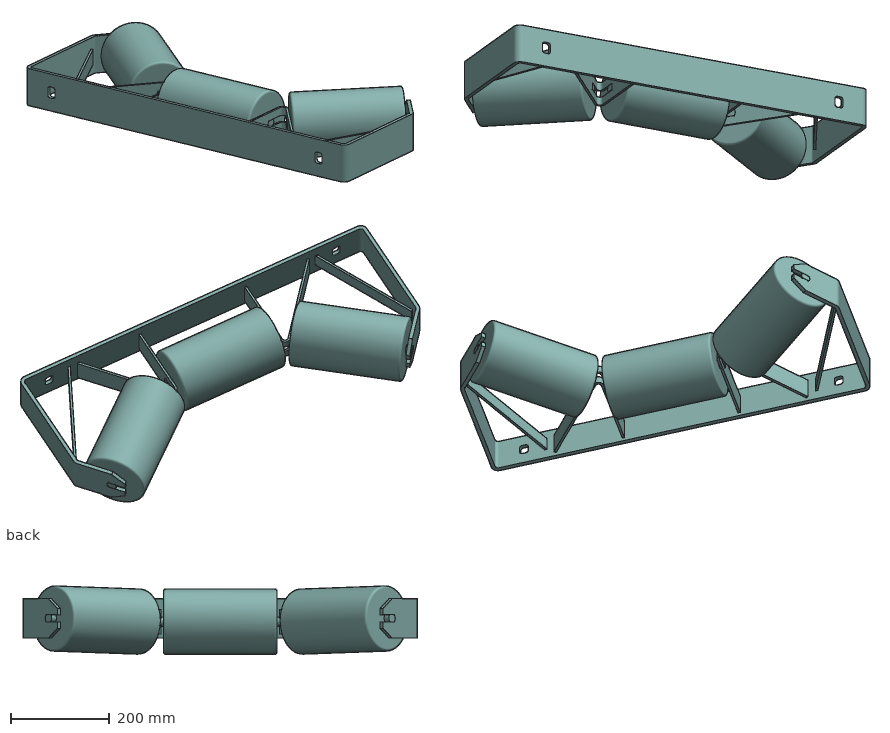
import cadquery as cq
import math

FRAME_LENGTH = 800.0
FRAME_HEIGHT = 80.0
FRAME_THICKNESS = 8.0
FRAME_BEND_RADIUS = 14.0
SIDE_LENGTH = 238.0
FRAME_MID_Z = 0.0

TROUGH_ANGLE = 40.0
ARM_LENGTH = 109.0
ARM_ABOVE_AXIS = 29.0
ARM_TIP_CHAMFER_HEIGHT = 20.0

MOUNT_SLOT_X = 333.0
MOUNT_SLOT_WIDTH = 18.0
MOUNT_SLOT_HEIGHT = 24.0
MOUNT_SLOT_CORNER_RADIUS = 6.0

ROLLER_DIAMETER = 133.0
ROLLER_EDGE_RADIUS = 5.0
ROLLER_LENGTH = 230.0
ROLLER_GAP = 5.0
SIDE_BRACKET_GAP = 3.0
SHAFT_DIAMETER = 20.0
SHAFT_FLAT_WIDTH = 14.0
SHOULDER_CLEARANCE = 0.4
MIDDLE_ROLLER_Y = 126.0
FORWARD_TILT = 1.6

BRACKET_THICKNESS = 5.0
BRACKET_HEIGHT = 50.0
BRACKET_BEND_RADIUS = 11.0

BRACE_THICKNESS = 5.0
BRACE_HEIGHT = 32.0
BRACE_FOOT_X = 289.0
BRACE_TOP_Y = 221.0

support_face = ROLLER_LENGTH / 2 + ROLLER_GAP
sloping_leg_face = ROLLER_LENGTH / 2 + SIDE_BRACKET_GAP

cos_trough = math.cos(math.radians(TROUGH_ANGLE))
sin_trough = math.sin(math.radians(TROUGH_ANGLE))
axis_inward = cq.Vector(cos_trough, -sin_trough, 0)
arm_upward = cq.Vector(sin_trough, cos_trough, 0)

half_length = FRAME_LENGTH / 2
side_corner = cq.Vector(-half_length, SIDE_LENGTH, 0)
arm_tip = side_corner + arm_upward * ARM_LENGTH
outer_shaft_point = arm_tip - arm_upward * ARM_ABOVE_AXIS + axis_inward * FRAME_THICKNESS
side_center = outer_shaft_point + axis_inward * support_face
inner_shaft_point = side_center + axis_inward * sloping_leg_face
side_drop = 2 * support_face * math.sin(math.radians(FORWARD_TILT))
low_z = FRAME_MID_Z - side_drop


def place_on_left_axis(shape):
    """Move a shape built about the X axis onto the left roller axis."""
    return (
        shape.rotate((0, 0, 0), (0, 1, 0), FORWARD_TILT)
        .rotate((0, 0, 0), (0, 0, 1), -TROUGH_ANGLE)
        .translate((side_center.x, side_center.y, FRAME_MID_Z - side_drop / 2))
    )


def place_on_middle_axis(shape):
    return shape.translate((0, MIDDLE_ROLLER_Y, low_z))


def mirror_to_right(shape):
    return shape.mirror("YZ")


def upright_plate(outline, height, mid_z):
    """Extrude a plan outline to a plate centred on mid_z."""
    points = [(point.x, point.y) for point in outline]
    return cq.Workplane("XY").workplane(offset=mid_z - height / 2).polyline(points).close().extrude(height)


def round_bend(plate, outer_corner, inner_corner, outer_radius, thickness, mid_z):
    """Round both upright edges of a sharp bend about one centre."""
    bends = ((outer_corner, outer_radius), (inner_corner, outer_radius - thickness))
    for corner, radius in bends:
        edge_point = (corner.x, corner.y, mid_z)
        plate = plate.edges(cq.selectors.NearestToPointSelector(edge_point)).fillet(radius)
    return plate


def round_shaft(start, end):
    return cq.Workplane("YZ").workplane(offset=start).circle(SHAFT_DIAMETER / 2).extrude(end - start)


def shaft_seat(start, end):
    """Length of shaft about X with a flat above and below."""
    flats = cq.Workplane("XY").box(end - start, SHAFT_DIAMETER, SHAFT_FLAT_WIDTH)
    return round_shaft(start, end).intersect(flats.translate(((start + end) / 2, 0, 0)))


def make_roller(left_face, left_reach, right_face, right_reach):
    """Roller about X, on a round shaft whose flatted ends reach through its support faces."""
    body = (
        cq.Workplane("YZ").workplane(offset=-ROLLER_LENGTH / 2)
        .circle(ROLLER_DIAMETER / 2).extrude(ROLLER_LENGTH)
        .faces("<X or >X").edges().fillet(ROLLER_EDGE_RADIUS)
    )
    left_shoulder = -left_face + SHOULDER_CLEARANCE
    right_shoulder = right_face - SHOULDER_CLEARANCE
    return (
        body.union(round_shaft(left_shoulder, right_shoulder))
        .union(shaft_seat(-left_face - left_reach, left_shoulder))
        .union(shaft_seat(right_shoulder, right_face + right_reach))
    )


def shaft_slot(start, end, length):
    """Open slot about X from start to end, fitting the flatted shaft and running toward +Y."""
    mouth = (
        cq.Workplane("XY")
        .box(end - start, length, SHAFT_FLAT_WIDTH, centered=(False, False, True))
        .translate((start, 0, 0))
    )
    return shaft_seat(start, end).union(mouth)


def make_frame():
    bend_half_tan = math.tan(math.radians(TROUGH_ANGLE / 2))
    side_inner_corner = side_corner + cq.Vector(FRAME_THICKNESS, -FRAME_THICKNESS * bend_half_tan, 0)
    back_corner = cq.Vector(-half_length, 0, 0)
    back_inner_corner = cq.Vector(-half_length + FRAME_THICKNESS, FRAME_THICKNESS, 0)
    left_outline = [
        cq.Vector(0, 0, 0),
        back_corner,
        side_corner,
        arm_tip,
        arm_tip + axis_inward * FRAME_THICKNESS,
        side_inner_corner,
        back_inner_corner,
        cq.Vector(0, FRAME_THICKNESS, 0),
    ]
    left = upright_plate(left_outline, FRAME_HEIGHT, FRAME_MID_Z)
    for outer, inner in ((back_corner, back_inner_corner), (side_corner, side_inner_corner)):
        left = round_bend(left, outer, inner, FRAME_BEND_RADIUS, FRAME_THICKNESS, FRAME_MID_Z)
    left = left.cut(arm_tip_corners()).cut(arm_slot()).cut(mounting_slot())
    return left.union(mirror_to_right(left))


def arm_tip_corners():
    """Wedges cut from the upper and lower corners of the left arm tip."""
    arm_plane = cq.Plane(origin=arm_tip.toTuple(), xDir=arm_upward.toTuple(), normal=axis_inward.toTuple())
    half_height = FRAME_HEIGHT / 2
    wedges = cq.Workplane(arm_plane)
    for side in (1, -1):
        wedges = wedges.polyline([
            (-ARM_ABOVE_AXIS, side * half_height),
            (0, side * half_height),
            (0, side * (half_height - ARM_TIP_CHAMFER_HEIGHT)),
        ]).close()
    return wedges.extrude(FRAME_THICKNESS)


def arm_slot():
    slot = shaft_slot(-support_face - 2 * FRAME_THICKNESS, -support_face + ROLLER_GAP, 2 * ARM_ABOVE_AXIS)
    return place_on_left_axis(slot)


def mounting_slot():
    return (
        cq.Workplane("XY").box(MOUNT_SLOT_WIDTH, 2 * FRAME_THICKNESS, MOUNT_SLOT_HEIGHT)
        .edges("|Y").fillet(MOUNT_SLOT_CORNER_RADIUS)
        .translate((-MOUNT_SLOT_X, FRAME_THICKNESS / 2, FRAME_MID_Z))
    )


def make_left_bracket():
    leg_face_x = -support_face
    fold_half = math.radians(TROUGH_ANGLE / 2)
    fold_rise = (leg_face_x - inner_shaft_point.x) / sin_trough
    fold = inner_shaft_point + arm_upward * fold_rise
    inner_fold = fold - cq.Vector(math.sin(fold_half), math.cos(fold_half), 0) * (
        BRACKET_THICKNESS / math.sin(fold_half))
    thickness_step = axis_inward * BRACKET_THICKNESS
    foot_rise = (FRAME_THICKNESS - thickness_step.y - fold.y) / cos_trough
    foot = fold + arm_upward * foot_rise
    outline = [
        cq.Vector(leg_face_x, FRAME_THICKNESS, 0),
        fold,
        foot,
        foot + thickness_step,
        inner_fold,
        cq.Vector(leg_face_x - BRACKET_THICKNESS, FRAME_THICKNESS, 0),
    ]
    bracket = upright_plate(outline, BRACKET_HEIGHT, low_z)
    bracket = round_bend(bracket, fold, inner_fold, BRACKET_BEND_RADIUS, BRACKET_THICKNESS, low_z)
    slot_depth = 2 * BRACKET_BEND_RADIUS
    slot_length = fold.y - MIDDLE_ROLLER_Y
    side_slot = shaft_slot(ROLLER_LENGTH / 2, sloping_leg_face + slot_depth, slot_length)
    middle_slot = shaft_slot(-support_face - slot_depth, -ROLLER_LENGTH / 2, slot_length)
    return bracket.cut(place_on_left_axis(side_slot)).cut(place_on_middle_axis(middle_slot))


def make_left_brace():
    foot = cq.Vector(-BRACE_FOOT_X, FRAME_THICKNESS, 0)
    top = cq.Vector(-half_length + FRAME_THICKNESS, BRACE_TOP_Y, 0)
    along = (top - foot).normalized()
    across = cq.Vector(along.y, -along.x, 0)
    outline = [
        foot,
        top,
        top + across * BRACE_THICKNESS,
        foot + cq.Vector(BRACE_THICKNESS / along.y, 0, 0),
    ]
    return upright_plate(outline, BRACE_HEIGHT, FRAME_MID_Z)


frame = make_frame()
left_roller = place_on_left_axis(
    make_roller(support_face, FRAME_THICKNESS, sloping_leg_face, BRACKET_THICKNESS))
middle_roller = place_on_middle_axis(
    make_roller(support_face, BRACKET_THICKNESS, support_face, BRACKET_THICKNESS))
left_bracket = make_left_bracket()
left_brace = make_left_brace()

bodies = [frame.val(), middle_roller.val()]
for left_body in (left_roller, left_bracket, left_brace):
    bodies.append(left_body.val())
    bodies.append(mirror_to_right(left_body).val())

result = cq.Compound.makeCompound(bodies)